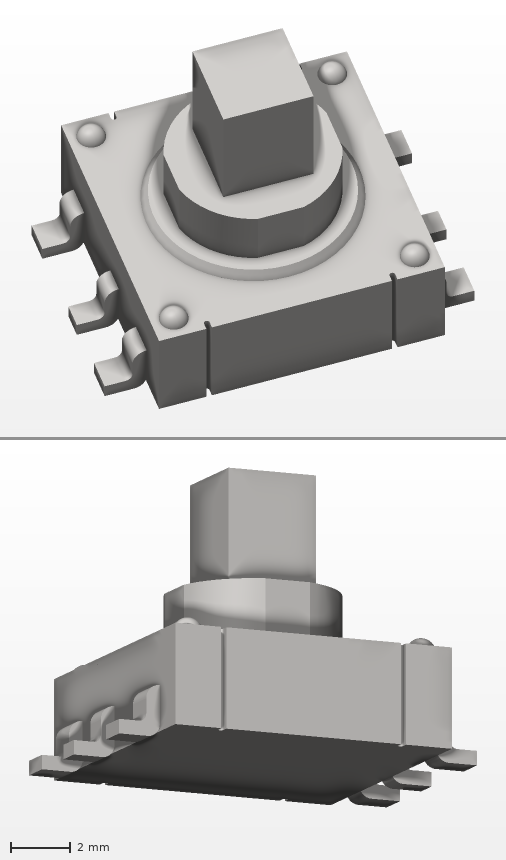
import cadquery as cq
import math

overall_length = 13.2
body_width = 10.2
body_bottom = 0.2
body_top = 3.7
half_width = body_width / 2

sheet = 0.2
slot_width = 0.2
slot_depth = 0.34
slot_y = 3.31
leg_start = slot_y + slot_width / 2
leg_length = half_width - leg_start
window_width = 0.8
window_bottom = 0.6
plate_bottom = body_top - sheet

stake_diameter = 1.0
stake_offset = 4.3
stake_height = 0.4

collar_diameter = 7.6
collar_top_diameter = 7.1
collar_top = 4.0
hub_width = 5.82
hub_flat = 1.64
hub_diameter = math.hypot(hub_width, hub_flat)
hub_top = 6.0
shaft_side = 3.22
shaft_top = 10.0

outer_lead_x = 3.25
outer_lead_width = 1.11
middle_lead_x = 0.46
middle_lead_width = 0.88
lead_thickness = 0.5
lead_height = 1.8
shoulder_radius = lead_thickness
foot_inner_radius = 0.26
heel_radius = 0.45
lead_positions = [
    (-outer_lead_x, outer_lead_width),
    (middle_lead_x, middle_lead_width),
    (outer_lead_x, outer_lead_width),
]

SIDES = (-1, 1)
CORNERS = [(sx, sy) for sx in SIDES for sy in SIDES]
stake_points = [(sx * stake_offset, sy * stake_offset) for sx, sy in CORNERS]


def block(x_size, y_size, z_low, z_high, x=0.0, y=0.0):
    """Upright box centred on (x, y) between two heights."""
    return (
        cq.Workplane("XY", origin=(x, y, z_low))
        .rect(x_size, y_size)
        .extrude(z_high - z_low)
    )


def edge_slots():
    """Four upright slots in the X sides, each with a round inner end."""
    slot_length = 2 * slot_depth
    slot_points = [(sx * half_width, sy * slot_y) for sx, sy in CORNERS]
    return (
        cq.Workplane("XY", origin=(0, 0, body_bottom))
        .pushPoints(slot_points)
        .slot2D(slot_length, slot_width)
        .extrude(body_top - body_bottom)
    )


def make_cover():
    """Top plate with four corner legs, windows in the legs and round openings."""
    cover = block(body_width, body_width, plate_bottom, body_top)
    for sx, sy in CORNERS:
        leg_x = sx * (half_width - sheet / 2)
        leg_y = sy * (leg_start + leg_length / 2)
        leg = block(sheet, leg_length, body_bottom, body_top, leg_x, leg_y)
        window = block(sheet, window_width, window_bottom, plate_bottom, leg_x, sy * stake_offset)
        cover = cover.union(leg.cut(window))
    openings = (
        cq.Workplane("XY", origin=(0, 0, plate_bottom))
        .circle(collar_diameter / 2)
        .pushPoints(stake_points)
        .circle(stake_diameter / 2)
        .extrude(sheet)
    )
    return cover.cut(openings).cut(edge_slots())


def make_collar():
    """Low tapered ring base around the stem."""
    return (
        cq.Workplane("XY", origin=(0, 0, body_top))
        .circle(collar_diameter / 2)
        .workplane(offset=collar_top - body_top)
        .circle(collar_top_diameter / 2)
        .loft()
    )


def make_stem():
    """Round hub with four flats, topped by a square shaft."""
    hub = (
        cq.Workplane("XY", origin=(0, 0, collar_top))
        .circle(hub_diameter / 2)
        .extrude(hub_top - collar_top)
        .intersect(block(hub_width, hub_width, collar_top, hub_top))
    )
    return hub.union(block(shaft_side, shaft_side, hub_top, shaft_top))


def make_stake_domes():
    """Spherical caps that stand on the stakes above the plate."""
    base_radius = stake_diameter / 2
    sphere_radius = (base_radius**2 + stake_height**2) / (2 * stake_height)
    sphere_centre = body_top + stake_height - sphere_radius
    spheres = (
        cq.Workplane("XY", origin=(0, 0, sphere_centre))
        .pushPoints(stake_points)
        .sphere(sphere_radius)
    )
    return spheres.intersect(block(body_width, body_width, body_top, body_top + stake_height))


def make_housing(cover):
    """Block that fills the cover and its openings, with collar, stem and stakes."""
    core = block(body_width, body_width, body_bottom, body_top).cut(edge_slots())
    return (
        core.cut(cover)
        .union(make_collar())
        .union(make_stem())
        .union(make_stake_domes())
    )


def make_lead(x, width, side):
    """Bent lead against the front (side -1) or back (side 1) of the housing."""
    face = half_width
    outer = face + lead_thickness
    tip = overall_length / 2
    diagonal = math.sqrt(0.5)
    shoulder_y = outer - shoulder_radius
    shoulder_z = lead_height - shoulder_radius
    foot_y = outer + foot_inner_radius
    foot_z = lead_thickness + foot_inner_radius
    heel_y = face + heel_radius
    lead = (
        cq.Workplane("YZ", origin=(x - width / 2, 0, 0))
        .moveTo(tip, 0)
        .lineTo(tip, lead_thickness)
        .lineTo(foot_y, lead_thickness)
        .threePointArc(
            (foot_y - foot_inner_radius * diagonal, foot_z - foot_inner_radius * diagonal),
            (outer, foot_z),
        )
        .lineTo(outer, shoulder_z)
        .threePointArc(
            (shoulder_y + shoulder_radius * diagonal, shoulder_z + shoulder_radius * diagonal),
            (shoulder_y, lead_height),
        )
        .lineTo(face, heel_radius)
        .threePointArc(
            (heel_y - heel_radius * diagonal, heel_radius - heel_radius * diagonal),
            (heel_y, 0),
        )
        .close()
        .extrude(width)
    )
    return lead if side > 0 else lead.mirror("XZ")


cover = make_cover()
housing = make_housing(cover)
leads = [make_lead(x, width, side) for side in SIDES for x, width in lead_positions]

result = cq.Compound.makeCompound([
    *housing.solids().vals(),
    *cover.solids().vals(),
    *[lead.val() for lead in leads],
])